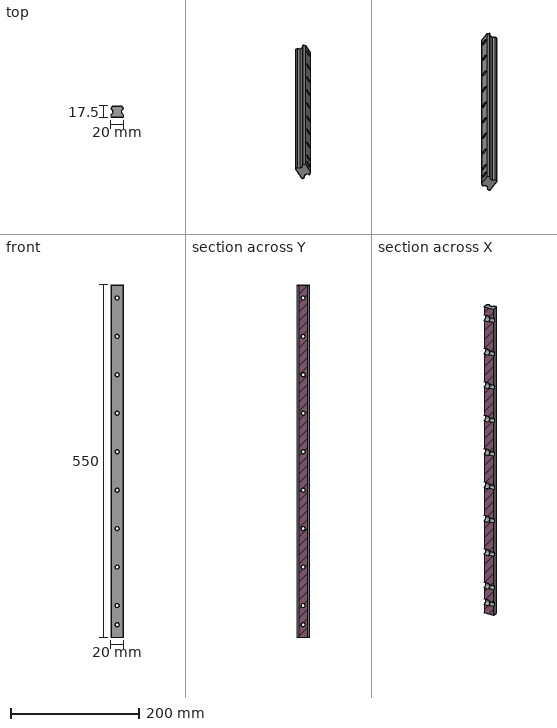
import cadquery as cq
import math

rail_width = 20.0
rail_height = 17.5
rail_length = 550.0

base_chamfer = 1.0
base_edge_height = 3.75
neck_half_width = 6.85
neck_low_height = 7.1
neck_high_height = 8.9
ear_low_height = 13.3
ear_high_height = 14.65
shoulder_half_width = 8.1
shoulder_height = 16.4
crown_half_width = 7.25
lower_groove_sag = 0.84
upper_groove_sag = 0.29

hole_diameter = 6.0
counterbore_diameter = 9.5
counterbore_depth = 8.5
hole_pitch = 60.0
pitched_hole_count = 9
end_distance = 20.0

half_width = rail_width / 2
mount_y = -rail_height / 2
crown_y = rail_height / 2


def groove_middle(start, end, sag):
    """Middle point of an arc bulging to the left of the line from start to end."""
    dx = end[0] - start[0]
    dy = end[1] - start[1]
    chord = math.hypot(dx, dy)
    middle_x = (start[0] + end[0]) / 2
    middle_y = (start[1] + end[1]) / 2
    return (middle_x - sag * dy / chord, middle_y + sag * dx / chord)


def make_rail():
    """Symmetric rail section in XY, extruded along Z with the mounting face on -Y."""
    neck_top = (neck_half_width, mount_y + neck_high_height)
    ear_bottom = (half_width, mount_y + ear_low_height)
    ear_top = (half_width, mount_y + ear_high_height)
    shoulder = (shoulder_half_width, mount_y + shoulder_height)
    half_rail = (
        cq.Workplane("XY", origin=(0, 0, -rail_length / 2))
        .moveTo(0, mount_y)
        .lineTo(half_width - base_chamfer, mount_y)
        .lineTo(half_width, mount_y + base_chamfer)
        .lineTo(half_width, mount_y + base_edge_height)
        .lineTo(neck_half_width, mount_y + neck_low_height)
        .lineTo(*neck_top)
        .threePointArc(groove_middle(neck_top, ear_bottom, lower_groove_sag), ear_bottom)
        .lineTo(*ear_top)
        .threePointArc(groove_middle(ear_top, shoulder, upper_groove_sag), shoulder)
        .lineTo(crown_half_width, crown_y)
        .lineTo(0, crown_y)
        .close()
        .extrude(rail_length)
    )
    return half_rail.union(half_rail.mirror("YZ")).clean()


def cylinder_from_crown(diameter, depth, z):
    """Cylinder running from the crown toward the mounting face, at height z."""
    return cq.Workplane("XZ", origin=(0, crown_y, z)).circle(diameter / 2).extrude(depth)


def screw_hole_heights():
    """Evenly pitched holes down from the top end, plus one near the bottom end."""
    first = rail_length / 2 - end_distance
    heights = [first - i * hole_pitch for i in range(pitched_hole_count)]
    return heights + [end_distance - rail_length / 2]


def cut_screw_holes(rail):
    for z in screw_hole_heights():
        rail = rail.cut(cylinder_from_crown(hole_diameter, rail_height, z))
        rail = rail.cut(cylinder_from_crown(counterbore_diameter, counterbore_depth, z))
    return rail


result = cut_screw_holes(make_rail())